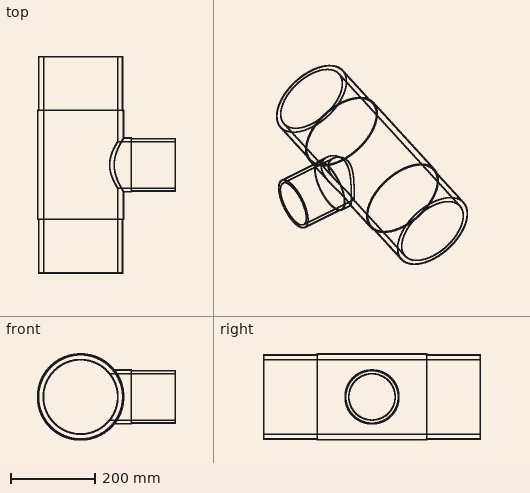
import cadquery as cq

run_length = 514.0
run_diameter = 200.0
run_bore = 176.5
body_length = 259.0
body_diameter = 204.5

branch_reach = 225.0
branch_diameter = 125.0
branch_bore = 110.0
collar_reach = 121.0
collar_diameter = 128.0


def run_cylinder(diameter, length):
    """Cylinder along Y, centred on the origin."""
    return cq.Workplane("XZ").circle(diameter / 2).extrude(length / 2, both=True)


def branch_cylinder(diameter, reach):
    """Cylinder along +X, starting on the main axis."""
    return cq.Workplane("YZ").circle(diameter / 2).extrude(reach)


outside = (
    run_cylinder(run_diameter, run_length)
    .union(run_cylinder(body_diameter, body_length))
    .union(branch_cylinder(branch_diameter, branch_reach))
    .union(branch_cylinder(collar_diameter, collar_reach))
)

result = (
    outside
    .cut(run_cylinder(run_bore, run_length))
    .cut(branch_cylinder(branch_bore, branch_reach))
)